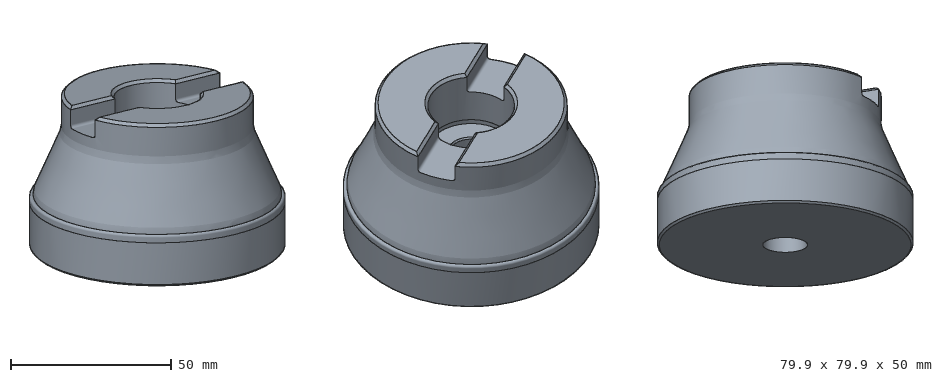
import cadquery as cq

base_diameter = 79.9
total_height = 50.0

disc_height = 14.4
disc_bottom_chamfer = 0.6

rim_top = 16.8
rim_fillet = 0.8
neck_base_diameter = 77.6
neck_base_corner = 17.9
neck_base_blend = 4.6
hub_diameter = 60.0
neck_top = 38.2
neck_top_blend = 6.0
edge_chamfer = 0.95

slot_width = 12.4
slot_depth = 6.95
slot_floor_fillet = 0.95

through_diameter = 14.0
through_chamfer = 0.5
bore_diameter = 27.0
relief_diameter = 28.0
relief_height = 2.0
relief_top_depth = 18.2

base_radius = base_diameter / 2
neck_base_radius = neck_base_diameter / 2
hub_radius = hub_diameter / 2
ring_tolerance = 0.1
bore_depth = relief_top_depth + relief_height
bore_floor = total_height - bore_depth


def bore_mouth(diameter, chamfer, z):
    """Cone that chamfers the mouth of a bore opening upward at height z."""
    radius = diameter / 2
    return cq.Workplane(
        cq.Solid.makeCone(radius, radius + chamfer, chamfer, pnt=cq.Vector(0, 0, z - chamfer))
    )


def make_disc():
    """Flat disc with a through hole and a chamfered lower rim."""
    disc = cq.Workplane("XY").circle(base_radius).extrude(disc_height)
    disc = disc.faces("<Z").edges().chamfer(disc_bottom_chamfer)
    return disc.faces(">Z").workplane().hole(through_diameter)


def fillet_ring(body, z, radius):
    """Round the circular edge of a turned body that lies at height z."""
    span = base_diameter
    around_edge = cq.selectors.BoxSelector(
        (-span, -span, z - ring_tolerance), (span, span, z + ring_tolerance), boundingbox=True
    )
    return body.edges(around_edge).fillet(radius)


def make_holder_blank():
    """Turned outer shape of the holder, before the bore and slot are cut."""
    rim = (
        cq.Workplane("XY", origin=(0, 0, disc_height))
        .circle(base_radius)
        .extrude(rim_top - disc_height)
        .faces(">Z")
        .edges()
        .fillet(rim_fillet)
    )
    neck = (
        cq.Workplane("XZ")
        .moveTo(0, disc_height)
        .lineTo(neck_base_radius, disc_height)
        .lineTo(neck_base_radius, neck_base_corner)
        .lineTo(hub_radius, neck_top)
        .lineTo(hub_radius, total_height)
        .lineTo(0, total_height)
        .close()
        .revolve(360, (0, 0, 0), (0, 1, 0))
    )
    neck = fillet_ring(neck, neck_base_corner, neck_base_blend)
    neck = fillet_ring(neck, neck_top, neck_top_blend)
    neck = neck.faces(">Z").edges().chamfer(edge_chamfer)
    return rim.union(neck)


def make_slot():
    """Slot cutter with rounded floor corners and flared upper edges."""
    half_width = slot_width / 2
    floor = total_height - slot_depth
    slot = (
        cq.Workplane("XY", origin=(0, 0, floor))
        .rect(slot_width, base_diameter)
        .extrude(slot_depth)
        .edges("|Y and <Z")
        .fillet(slot_floor_fillet)
    )
    flare = (
        cq.Workplane("XZ")
        .moveTo(-half_width, total_height - edge_chamfer)
        .lineTo(half_width, total_height - edge_chamfer)
        .lineTo(half_width + edge_chamfer, total_height)
        .lineTo(-half_width - edge_chamfer, total_height)
        .close()
        .extrude(base_radius, both=True)
    )
    return slot.union(flare)


def make_holder():
    """Holder with its stepped bore, relief groove at the bore floor, and drive slot."""
    floor_plane = cq.Workplane("XY", origin=(0, 0, bore_floor))
    relief = floor_plane.circle(relief_diameter / 2).extrude(relief_height)
    bore = floor_plane.circle(bore_diameter / 2).extrude(bore_depth)
    through_hole = cq.Workplane("XY").circle(through_diameter / 2).extrude(total_height)
    return (
        make_holder_blank()
        .cut(through_hole)
        .cut(bore)
        .cut(relief)
        .cut(bore_mouth(through_diameter, through_chamfer, bore_floor))
        .cut(bore_mouth(bore_diameter, edge_chamfer, total_height))
        .cut(make_slot())
    )


disc = make_disc()
holder = make_holder()
result = cq.Compound.makeCompound([disc.val(), holder.val()])